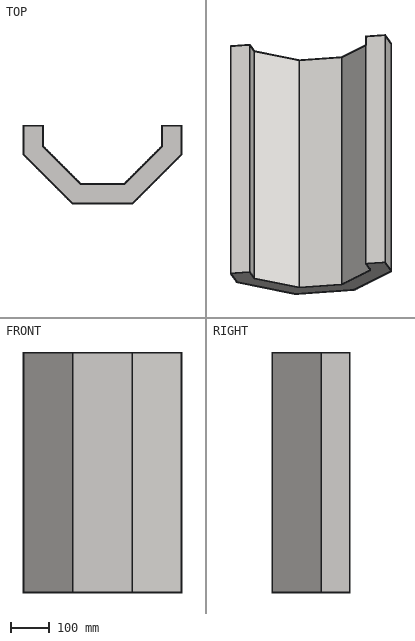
import cadquery as cq
import math

width = 406.5
depth = 200.0
height = 616.0
wall = 50.5
bevel = 126.0

corner_shift = wall * math.tan(math.radians(22.5))

half_width = width / 2
half_base = half_width - bevel
inner_half_width = half_width - wall
inner_half_base = half_base - corner_shift

right_half = [
    (half_base, 0),
    (half_width, bevel),
    (half_width, depth),
    (inner_half_width, depth),
    (inner_half_width, bevel + corner_shift),
    (inner_half_base, wall),
]
left_half = [(-x, y) for x, y in reversed(right_half)]

result = cq.Workplane("XY").polyline(right_half + left_half).close().extrude(height)